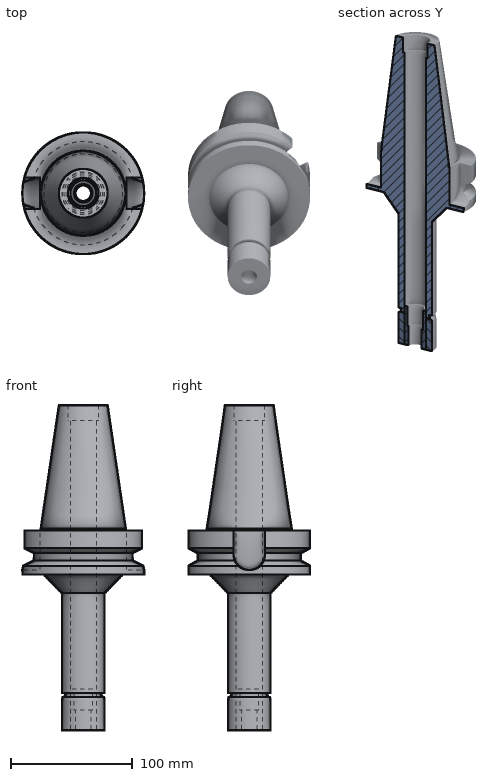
import cadquery as cq

total_length = 266.8

nut_radius = 35.0 / 2
nut_face_height = 27.5
nut_chamfer_height = 2.5
nut_chamfer_width = 0.4

shank_radius = 35.0 / 2
neck_lower_radius = 15.7
neck_upper_radius = 14.1
shank_bottom = 30.7
shank_top = 112.5

flange_bottom = 127.8
flange_top = 164.0
flange_radius = 50.02
flange_cone_radius = 32.3
groove_radius = 42.5
groove_lower_edge = 135.0
groove_floor_bottom = 139.3
groove_floor_top = 145.5
groove_upper_edge = 149.5

slot_width = 25.5
slot_floor_x = 35.5
slot_bottom = 131.5

taper_bottom = 165.5
taper_large_radius = 35.0
taper_small_radius = 20.0
relief_radius = 34.5

stud_bore_radius = 12.5
stud_bore_depth = 12.8
through_bore_radius = 10.7

collet_length = 34.0
collet_grip_radius = 6.5
collet_relief_radius = 7.5
collet_grip_length = collet_length / 2


def revolve_profile(points):
    """Revolve a closed (radius, height) profile about the Z axis."""
    return cq.Workplane("XZ").polyline(points).close().revolve(360, (0, 0, 0), (0, 1, 0))


def make_drive_slot(side):
    """Round-bottomed cutter for the drive slot on the +X (side=1) or -X (side=-1) side."""
    slot_radius = slot_width / 2
    arc_center = slot_bottom + slot_radius
    cutter = (
        cq.Workplane("YZ", origin=(slot_floor_x, 0, 0))
        .moveTo(-slot_radius, flange_top)
        .lineTo(-slot_radius, arc_center)
        .threePointArc((0, slot_bottom), (slot_radius, arc_center))
        .lineTo(slot_radius, flange_top)
        .close()
        .extrude(flange_radius)
    )
    return cutter if side > 0 else cutter.mirror("YZ")


def make_holder():
    """Taper, flange, shank and neck, hollow along the axis."""
    stud_bore_bottom = total_length - stud_bore_depth
    holder = revolve_profile([
        (through_bore_radius, nut_face_height),
        (neck_lower_radius, nut_face_height),
        (neck_upper_radius, shank_bottom),
        (shank_radius, shank_bottom),
        (shank_radius, shank_top),
        (flange_cone_radius, flange_bottom),
        (flange_radius, flange_bottom),
        (flange_radius, groove_lower_edge),
        (groove_radius, groove_floor_bottom),
        (groove_radius, groove_floor_top),
        (flange_radius, groove_upper_edge),
        (flange_radius, flange_top),
        (relief_radius, flange_top),
        (relief_radius, taper_bottom),
        (taper_large_radius, taper_bottom),
        (taper_small_radius, total_length),
        (stud_bore_radius, total_length),
        (stud_bore_radius, stud_bore_bottom),
        (through_bore_radius, stud_bore_bottom),
    ])
    for side in (-1, 1):
        holder = holder.cut(make_drive_slot(side))
    return holder


def make_nut():
    """Ring around the collet, its upper rim slightly chamfered."""
    return revolve_profile([
        (through_bore_radius, 0),
        (nut_radius, 0),
        (nut_radius, nut_face_height - nut_chamfer_height),
        (nut_radius - nut_chamfer_width, nut_face_height),
        (through_bore_radius, nut_face_height),
    ])


def make_collet():
    """Sleeve in the lower end of the bore, its own bore wider above the gripping length."""
    return revolve_profile([
        (collet_grip_radius, 0),
        (through_bore_radius, 0),
        (through_bore_radius, collet_length),
        (collet_relief_radius, collet_length),
        (collet_relief_radius, collet_grip_length),
        (collet_grip_radius, collet_grip_length),
    ])


holder = make_holder()
nut = make_nut()
collet = make_collet()

result = cq.Compound.makeCompound([holder.val(), nut.val(), collet.val()])